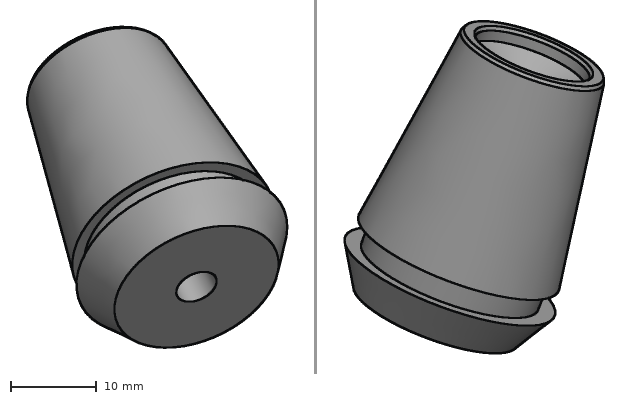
import cadquery as cq
import math

length = 34.0
head_diameter = 26.2
head_start = 28.97
head_angle = 30.0

groove_start = 25.9
groove_diameter = 22.1

body_diameter = 25.02
taper_angle = 8.0
nose_chamfer_length = 0.48
nose_chamfer_height = 0.27

hole_diameter = 5.0
recess_diameter = 14.2
recess_length = 1.8
recess_floor_length = 2.62
mouth_chamfer_length = 0.48
mouth_chamfer_height = 0.27

head_radius = head_diameter / 2
body_radius = body_diameter / 2
groove_radius = groove_diameter / 2
hole_radius = hole_diameter / 2
recess_radius = recess_diameter / 2

end_radius = head_radius - (length - head_start) * math.tan(math.radians(head_angle))
taper_length = groove_start - nose_chamfer_length
nose_radius = body_radius - taper_length * math.tan(math.radians(taper_angle))


def revolve_about_x(points):
    """Turn a closed (X, radius) outline about the X axis."""
    return cq.Workplane("XY").polyline(points).close().revolve(360, (0, 0, 0), (1, 0, 0))


def outer_body():
    return revolve_about_x([
        (0, 0),
        (0, nose_radius - nose_chamfer_height),
        (nose_chamfer_length, nose_radius),
        (groove_start, body_radius),
        (groove_start, groove_radius),
        (head_start, groove_radius),
        (head_start, head_radius),
        (length, end_radius),
        (length, 0),
    ])


def bore():
    return revolve_about_x([
        (0, 0),
        (0, recess_radius + mouth_chamfer_height),
        (mouth_chamfer_length, recess_radius),
        (recess_length, recess_radius),
        (recess_length + recess_floor_length, hole_radius),
        (length, hole_radius),
        (length, 0),
    ])


result = outer_body().cut(bore())